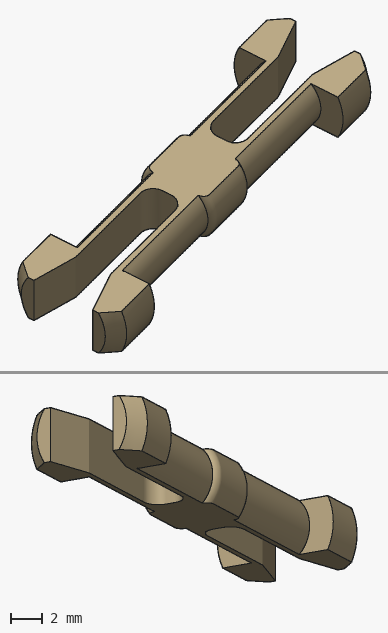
import cadquery as cq

length = 28.5
width = 8.46
thickness = 3.6
half_length = length / 2

head_radius = width / 2
head_start = 10.25
tip_chamfer = 0.97
shaft_radius = 2.5
collar_radius = 2.9
collar_half_length = 2.02
collar_fillet = 0.48

slot_half_width = 1.35
slot_floor = 3.0
slot_corner_radius = 1.0
flare_start = 11.0
mouth_half_width = 2.28


def cylinder_along_y(radius, start, end):
    """Cylinder on the Y axis from y = start to y = end."""
    plane = cq.Workplane("XZ", origin=(0, start, 0))
    return plane.circle(radius).extrude(start - end)


def head():
    """Barbed head at the +Y end, with its tip chamfered."""
    return cylinder_along_y(head_radius, head_start, half_length).faces(">Y").chamfer(tip_chamfer)


def collar():
    """Central ring with rounded ends."""
    ring = cylinder_along_y(collar_radius, -collar_half_length, collar_half_length)
    return ring.edges("%CIRCLE").fillet(collar_fillet)


def slot():
    """Round-cornered slot with a flared mouth at the +Y end."""
    straight_end = slot_floor + slot_corner_radius
    floor_half_width = slot_half_width - slot_corner_radius
    return (
        cq.Workplane("XY", origin=(0, 0, -thickness / 2))
        .moveTo(-floor_half_width, slot_floor)
        .lineTo(floor_half_width, slot_floor)
        .radiusArc((slot_half_width, straight_end), -slot_corner_radius)
        .lineTo(slot_half_width, flare_start)
        .lineTo(mouth_half_width, half_length)
        .lineTo(-mouth_half_width, half_length)
        .lineTo(-slot_half_width, flare_start)
        .lineTo(-slot_half_width, straight_end)
        .radiusArc((-floor_half_width, slot_floor), -slot_corner_radius)
        .close()
        .extrude(thickness)
    )


shaft = cylinder_along_y(shaft_radius, -head_start, head_start)
body = shaft.union(collar()).union(head()).union(head().mirror("XZ"))

body = body.intersect(cq.Workplane("XY").box(width, length, thickness))

result = body.cut(slot()).cut(slot().mirror("XZ"))